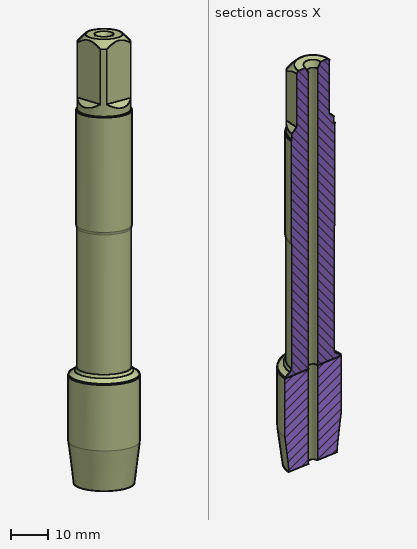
import cadquery as cq
import math

total_length = 125.0
bore_radius = 3.0 / 2

head_radius = 19.2 / 2
head_tip_radius = 16.4 / 2
lead_length = 11.8
head_length = 30.0

shoulder_rim_radius = 19.0 / 2
shoulder_rim_height = 0.4
shoulder_cone_radius = 15.8 / 2
shoulder_cone_top = 31.4
flare_top = 32.2

shank_radius = 15.0 / 2
neck_radius = 14.6 / 2
neck_top = 71.2
neck_step_height = 0.8
drive_radius = 14.4 / 2
drive_start = 104.1
drive_step_height = 0.2

square_width = 11.2
flat_bottom = 107.5
flat_runout_height = 1.5
tip_radius = 5.0
tip_chamfer = drive_radius - tip_radius

centre_radius = 5.1 / 2
centre_cone_half_angle = 30.0
centre_depth = (centre_radius - bore_radius) / math.tan(math.radians(centre_cone_half_angle))


def revolve_profile(points):
    """Revolve an (r, z) outline about the Z axis."""
    return cq.Workplane("XZ").polyline(points).close().revolve(360, (0, 0, 0), (0, 1, 0))


def make_head():
    """Threaded head, simplified to a cylinder with a conical lead and the through bore."""
    return revolve_profile([
        (bore_radius, 0),
        (head_tip_radius, 0),
        (head_radius, lead_length),
        (head_radius, head_length),
        (bore_radius, head_length),
    ])


def make_flat_cutter():
    """Cutter for the +X flat of the square, with a sloping run-out at its lower end."""
    half_width = square_width / 2
    runout_depth = drive_radius - half_width
    clearance = 1.2
    slope = flat_runout_height / runout_depth
    outer = drive_radius + clearance
    return (
        cq.Workplane("XZ")
        .polyline([
            (half_width, total_length + clearance),
            (half_width, flat_bottom),
            (outer, flat_bottom - slope * (outer - half_width)),
            (outer, total_length + clearance),
        ])
        .close()
        .extrude(drive_radius + clearance, both=True)
    )


def make_shank():
    """Shoulder, neck, clamping shank and driving square, bored through the centre."""
    shank = revolve_profile([
        (bore_radius, head_length),
        (shoulder_rim_radius, head_length),
        (shoulder_rim_radius, head_length + shoulder_rim_height),
        (shoulder_cone_radius, shoulder_cone_top),
        (neck_radius, flare_top),
        (neck_radius, neck_top),
        (shank_radius, neck_top + neck_step_height),
        (shank_radius, drive_start - drive_step_height),
        (drive_radius, drive_start),
        (drive_radius, total_length - tip_chamfer),
        (tip_radius, total_length),
        (centre_radius, total_length),
        (bore_radius, total_length - centre_depth),
    ])
    cutter = make_flat_cutter()
    for side in range(4):
        shank = shank.cut(cutter.rotate((0, 0, 0), (0, 0, 1), 90 * side))
    return shank


head = make_head()
shank = make_shank()

result = cq.Compound.makeCompound([head.val(), shank.val()])